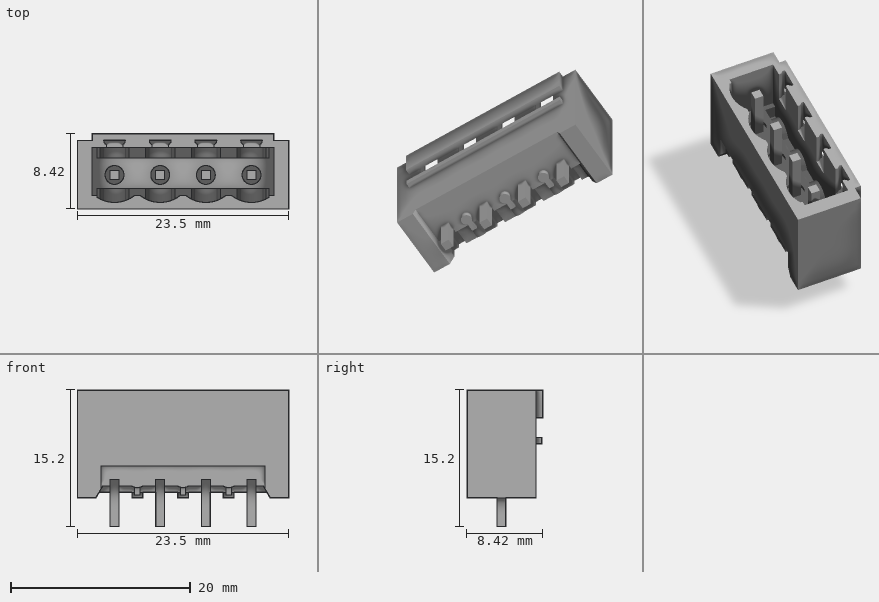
import cadquery as cq
import math


PIN_COUNT = 4
PITCH = 5.08
PIN_SIZE = 1.0
PIN_Y = 3.8
PIN_TOP = 11.05
PIN_BOTTOM = -3.2
PIN_X = [(i - (PIN_COUNT - 1) / 2) * PITCH for i in range(PIN_COUNT)]
GAP_X = [(left + right) / 2 for left, right in zip(PIN_X, PIN_X[1:])]

LENGTH = 23.52
DEPTH = 7.67
HEIGHT = 12
TOTAL_DEPTH = 8.42
STEP_HEIGHT = 3.1

BAR_DEPTH = 0.64
BAR_TOP = 6.73
BAR_HEIGHT = 0.73

CAVITY_LENGTH = 20.23
CAVITY_FRONT = 1.55
CAVITY_REAR = 6.87
FLOOR_Z = 5.4

WELL_LENGTH = 19.1
WELL_Z = 3.76
STRIP_FRONT = 2.28
STRIP_REAR = 5.67
SCALLOP_FRONT = 0.75
SCALLOP_RADIUS = 3.55

RIDGE_HALF_WIDTH = 1.62
ARCH_HALF_WIDTH = 1.25
ARCH_RADIUS = 1.6
FLANK_HEIGHT = 0.59

PIN_RECESS_DIAMETER = 2.1
PIN_RECESS_DEPTH = 0.47

KEY_WIDE = 2.38
KEY_NARROW = 1.83
KEY_STRAIGHT = 0.28
KEY_REAR = 7.71
KEY_BOTTOM = 7.85

RECESS_LENGTH = 18.2
RECESS_DEPTH = 0.59
RECESS_TOP = 3.58
FRONT_UNDERSIDE = 1.32
REAR_UNDERSIDE = 0.6
UNDERSIDE_STEP_Y = 2.82
LEG_FOOT = 2.07
LEG_SLOPE = 60
PIN_SLOT_TOP = 2.02

STANDOFF_DIAMETER = 1.22
LOBE_DROP = 0.16
RIB_WIDTH = 0.59
RIB_FRONT = 2.12
RIB_BOTTOM = 0.3


def block(x, y, z):
    """Box spanning the (low, high) pairs x, y and z."""
    size = [high - low for low, high in (x, y, z)]
    return cq.Workplane("XY").box(*size, centered=False).translate((x[0], y[0], z[0]))


def centred(width, middle=0):
    """The (low, high) pair of a width about its middle."""
    return middle - width / 2, middle + width / 2


def extrude_along_y(outline, front, rear):
    """Extrude an XZ outline from the front Y to the rear Y."""
    return outline.extrude(-(rear - front)).translate((0, front, 0))


def outer_block():
    body = block(centred(LENGTH), (0, DEPTH), (0, HEIGHT))
    step = block(centred(CAVITY_LENGTH), (DEPTH, TOTAL_DEPTH), (HEIGHT - STEP_HEIGHT, HEIGHT))
    bar = block(centred(CAVITY_LENGTH), (DEPTH, DEPTH + BAR_DEPTH), (BAR_TOP - BAR_HEIGHT, BAR_TOP))
    return body.union(step).union(bar)


def scallop(x):
    """Round bay in the front wall at a pin, cut off at the ends of the wells."""
    base = cq.Workplane("XY").workplane(offset=WELL_Z).center(x, SCALLOP_FRONT + SCALLOP_RADIUS)
    bay = base.circle(SCALLOP_RADIUS).extrude(HEIGHT - WELL_Z)
    limits = block(centred(WELL_LENGTH), (0, CAVITY_FRONT), (WELL_Z, HEIGHT))
    return bay.intersect(limits)


def ridge(x):
    """Ridge with sloping flanks and an arched crown, running along Y below the floor."""
    arch_rise = ARCH_RADIUS - math.sqrt(ARCH_RADIUS**2 - ARCH_HALF_WIDTH**2)
    shoulder_z = WELL_Z + FLANK_HEIGHT
    outline = (
        cq.Workplane("XZ")
        .moveTo(x - RIDGE_HALF_WIDTH, WELL_Z)
        .lineTo(x - ARCH_HALF_WIDTH, shoulder_z)
        .threePointArc((x, shoulder_z + arch_rise), (x + ARCH_HALF_WIDTH, shoulder_z))
        .lineTo(x + RIDGE_HALF_WIDTH, WELL_Z)
        .close()
    )
    return extrude_along_y(outline, 0, DEPTH)


def cavity():
    """Space for the plug: the main cavity, the scallops and the two ridged wells."""
    main = block(centred(CAVITY_LENGTH), (CAVITY_FRONT, CAVITY_REAR), (FLOOR_Z, HEIGHT))
    front_well = block(centred(WELL_LENGTH), (CAVITY_FRONT, STRIP_FRONT), (WELL_Z, FLOOR_Z))
    rear_well = block(centred(WELL_LENGTH), (STRIP_REAR, CAVITY_REAR), (WELL_Z, FLOOR_Z))
    space = main.union(front_well).union(rear_well)
    for x in PIN_X:
        space = space.union(scallop(x))
    for x in PIN_X:
        space = space.cut(ridge(x))
    return space


def keyway(x):
    """Dovetail slot, wide at the rear, biting slightly into the step and open below it."""
    wide = KEY_WIDE / 2
    narrow = KEY_NARROW / 2
    outline = [
        (x - narrow, CAVITY_REAR),
        (x - narrow, CAVITY_REAR + KEY_STRAIGHT),
        (x - wide, KEY_REAR - KEY_STRAIGHT),
        (x - wide, KEY_REAR),
        (x + wide, KEY_REAR),
        (x + wide, KEY_REAR - KEY_STRAIGHT),
        (x + narrow, CAVITY_REAR + KEY_STRAIGHT),
        (x + narrow, CAVITY_REAR),
    ]
    profile = cq.Workplane("XY").workplane(offset=KEY_BOTTOM).polyline(outline).close()
    return profile.extrude(HEIGHT - KEY_BOTTOM)


def pin_recess(x):
    base = cq.Workplane("XY").workplane(offset=FLOOR_Z - PIN_RECESS_DEPTH).center(x, PIN_Y)
    return base.circle(PIN_RECESS_DIAMETER / 2).extrude(PIN_RECESS_DEPTH)


def leg_gap(top, front, rear):
    """Space between the legs, narrowing upwards to the given top."""
    foot_x = LENGTH / 2 - LEG_FOOT
    top_x = foot_x - top / math.tan(math.radians(LEG_SLOPE))
    corners = [(-foot_x, 0), (-top_x, top), (top_x, top), (foot_x, 0)]
    return extrude_along_y(cq.Workplane("XZ").polyline(corners).close(), front, rear)


def front_recess():
    """Recess in the front face, ending at the sloping flanks of the legs."""
    return block(centred(RECESS_LENGTH), (0, RECESS_DEPTH), (0, RECESS_TOP))


def pin_slot(x):
    """Slot in the underside that runs from the front recess to the pin."""
    pin_front = PIN_Y - PIN_SIZE / 2
    return block(centred(PIN_SIZE, x), (RECESS_DEPTH, pin_front), (0, PIN_SLOT_TOP))


def lobe(x):
    """Shallow round bulge under the front part of the underside."""
    half = STANDOFF_DIAMETER / 2
    outline = (
        cq.Workplane("XZ")
        .moveTo(x - half, FRONT_UNDERSIDE)
        .threePointArc((x, FRONT_UNDERSIDE - LOBE_DROP), (x + half, FRONT_UNDERSIDE))
        .close()
    )
    return extrude_along_y(outline, RECESS_DEPTH, UNDERSIDE_STEP_Y)


def standoff(x):
    """Round foot level with the legs, with a rib running forward from it."""
    foot = cq.Workplane("XY").center(x, PIN_Y).circle(STANDOFF_DIAMETER / 2).extrude(FRONT_UNDERSIDE)
    rib = block(centred(RIB_WIDTH, x), (RIB_FRONT, PIN_Y), (RIB_BOTTOM, FRONT_UNDERSIDE))
    return foot.union(rib)


def make_pin(x):
    return block(centred(PIN_SIZE, x), centred(PIN_SIZE, PIN_Y), (PIN_BOTTOM, PIN_TOP))


def make_housing():
    body = outer_block().cut(cavity())
    body = body.cut(leg_gap(FRONT_UNDERSIDE, 0, UNDERSIDE_STEP_Y))
    body = body.cut(leg_gap(REAR_UNDERSIDE, UNDERSIDE_STEP_Y, DEPTH))
    body = body.cut(front_recess())
    for x in GAP_X:
        body = body.union(lobe(x)).union(standoff(x))
    for x in PIN_X:
        body = body.cut(keyway(x)).cut(pin_recess(x)).cut(pin_slot(x)).cut(make_pin(x))
    return body


housing = make_housing()
pins = [make_pin(x) for x in PIN_X]

result = cq.Compound.makeCompound([housing.solids().val(), *[pin.val() for pin in pins]])